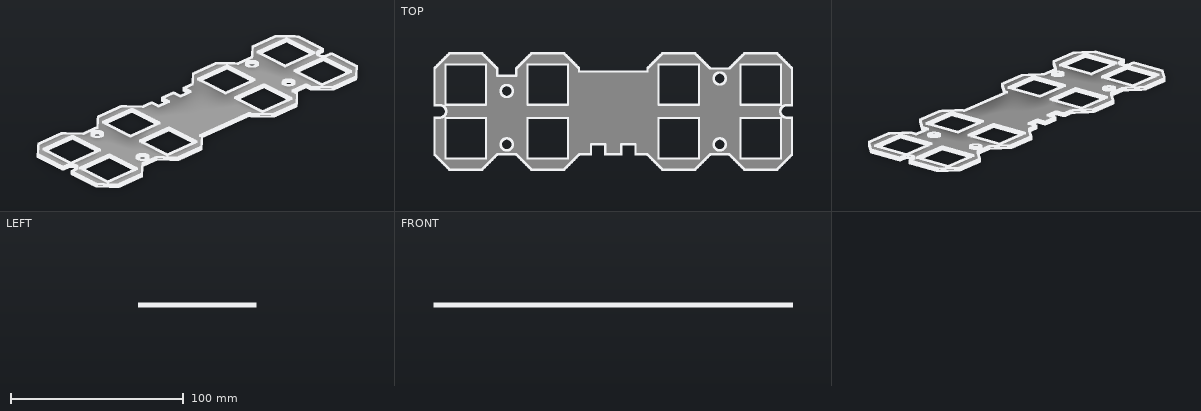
import cadquery as cq

length = 207.5
width = 67.7
thickness = 1.6

cell_length = 36.5
cell_pitch_x = 47.5
cell_corner = 9.0
window_size = 23.2
window_y = 15.5

web_half_width = width / 2 - cell_corner
center_top_y = 23.2
left_notch_floor_y = 20.8

hole_diameter = 6.8
hole_y = 19.0
raised_hole_y = 11.8
end_slot_depth = 6.8
end_slot_width = 7.0
edge_notch_width = 8.0
edge_notch_x = 8.7
edge_notch_top_y = -19.0

outer_x = (length - cell_length) / 2
inner_x = outer_x - cell_pitch_x
hole_x = (outer_x + inner_x) / 2
column_centers = [-outer_x, -inner_x, inner_x, outer_x]


def block(x_min, x_max, y_min, y_max):
    """Plate-thick rectangular block between the given limits."""
    return (
        cq.Workplane("XY")
        .center((x_min + x_max) / 2, (y_min + y_max) / 2)
        .rect(x_max - x_min, y_max - y_min)
        .extrude(thickness)
    )


def cell_column(x):
    """Full-width column with chamfered corners, holding a pair of cells."""
    half = cell_length / 2
    return block(x - half, x + half, -width / 2, width / 2).edges("|Z").chamfer(cell_corner)


def plate_body():
    """Four cell columns joined by the webs between them."""
    half = cell_length / 2
    body = block(-inner_x, inner_x, -web_half_width, center_top_y)
    body = body.union(block(-outer_x + half, -inner_x - half, -web_half_width, left_notch_floor_y))
    body = body.union(block(inner_x + half, outer_x - half, -web_half_width, web_half_width))
    for x in column_centers:
        body = body.union(cell_column(x))
    return body


def windows():
    centers = [(x, y) for x in column_centers for y in (-window_y, window_y)]
    return cq.Workplane("XY").pushPoints(centers).rect(window_size, window_size).extrude(thickness)


def round_holes():
    centers = [
        (-hole_x, -hole_y),
        (-hole_x, raised_hole_y),
        (hole_x, -hole_y),
        (hole_x, hole_y),
    ]
    return cq.Workplane("XY").pushPoints(centers).circle(hole_diameter / 2).extrude(thickness)


def end_slots():
    """Slots with semicircular inner ends, open at both ends of the plate."""
    ends = [(-length / 2, 0), (length / 2, 0)]
    return cq.Workplane("XY").pushPoints(ends).slot2D(2 * end_slot_depth, end_slot_width).extrude(thickness)


def edge_notches():
    depth = edge_notch_top_y + web_half_width
    centers = [(side * edge_notch_x, edge_notch_top_y - depth / 2) for side in (-1, 1)]
    return cq.Workplane("XY").pushPoints(centers).rect(edge_notch_width, depth).extrude(thickness)


result = plate_body().cut(windows()).cut(round_holes()).cut(end_slots()).cut(edge_notches())